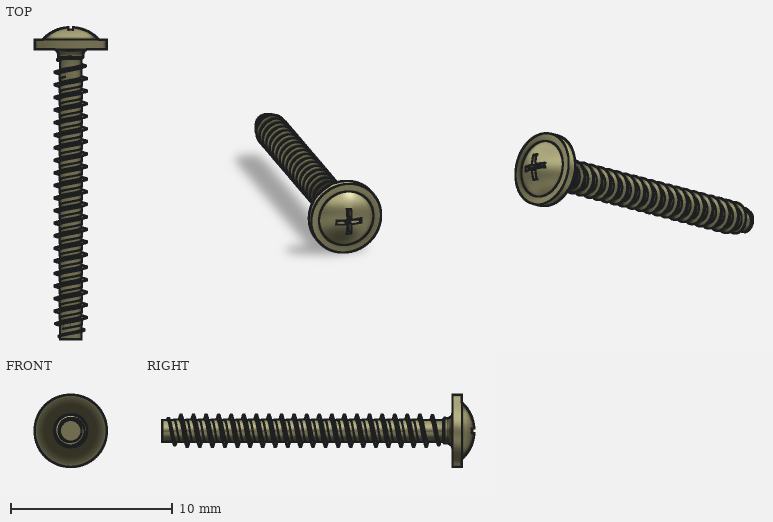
import cadquery as cq
import math

shank_length = 18.0
head_height = 1.38

flange_radius = 2.25
flange_thickness = 0.6
dome_base_radius = 1.75
recess_span = 1.6
recess_slot_width = 0.28
recess_depth = 0.8

neck_radius = 0.79
neck_length = 0.48
neck_fillet = 0.3

core_radius = 0.68
crest_radius = 1.015
crest_width = 0.02
flank_angle = 15.0
land_radius = 0.705
land_width = 0.42
root_embed = 0.08
thread_pitch = 0.78
thread_start = 0.45
thread_start_angle = 90.0
start_turns = 1.25
full_turns = 19.75
end_turns = 1.5
start_crest_radius = 0.82
end_crest_radius = 0.7


def make_body():
    """Revolve the dome, flange, filleted neck and core as one profile."""
    dome_height = head_height - flange_thickness
    dome_radius = (dome_base_radius**2 + dome_height**2) / (2 * dome_height)
    mid_angle = math.asin(dome_base_radius / dome_radius) / 2
    dome_mid = (
        dome_radius * math.sin(mid_angle),
        -head_height + dome_radius * (1 - math.cos(mid_angle)),
    )
    fillet_mid_offset = neck_fillet * (1 - math.sqrt(0.5))
    neck_chamfer = neck_radius - core_radius
    profile = (
        cq.Workplane("XZ")
        .moveTo(0, -head_height)
        .threePointArc(dome_mid, (dome_base_radius, -flange_thickness))
        .lineTo(flange_radius, -flange_thickness)
        .lineTo(flange_radius, 0)
        .lineTo(neck_radius + neck_fillet, 0)
        .threePointArc(
            (neck_radius + fillet_mid_offset, fillet_mid_offset),
            (neck_radius, neck_fillet),
        )
        .lineTo(neck_radius, neck_length)
        .lineTo(core_radius, neck_length + neck_chamfer)
        .lineTo(core_radius, shank_length)
        .lineTo(0, shank_length)
        .close()
    )
    return profile.revolve(360, (0, 0), (0, 1))


def make_helix(turns, radius_from, radius_to):
    """Helix whose radius stays constant or changes evenly from start to end."""
    height = turns * thread_pitch
    if radius_from == radius_to:
        return cq.Wire.makeHelix(thread_pitch, height, radius_from)
    cone_angle = math.atan2(radius_to - radius_from, height)
    slant = 1 / math.cos(cone_angle)
    return cq.Wire.makeHelix(
        thread_pitch * slant,
        height * slant,
        radius_from,
        angle=math.degrees(cone_angle),
    )


def make_ridge(start_turn, turns, radius_from, radius_to):
    """Sweep the ridge, with a low land on its tip side, over one stretch of thread."""
    flank_slope = math.tan(math.radians(flank_angle))
    crest_half = crest_width / 2
    root_half = crest_half + (crest_radius - core_radius + root_embed) * flank_slope
    land_half = crest_half + (crest_radius - land_radius) * flank_slope
    root = radius_from - (crest_radius - core_radius) - root_embed
    land = radius_from - (crest_radius - land_radius)
    section = [
        (root, -root_half),
        (radius_from, -crest_half),
        (radius_from, crest_half),
        (land, land_half),
        (land, land_width),
        (root, land_width),
    ]
    helix = make_helix(turns, radius_from, radius_to)
    ridge = (
        cq.Workplane("XZ")
        .polyline(section)
        .close()
        .sweep(cq.Workplane(helix), isFrenet=True)
    )
    angle = thread_start_angle + 360 * start_turn
    height = thread_start + start_turn * thread_pitch
    return ridge.rotate((0, 0, 0), (0, 0, 1), angle).translate((0, 0, height))


def add_thread(body):
    """Add the ridge as a rising, a full and a sinking stretch."""
    sink_turn = start_turns + full_turns
    rising = make_ridge(0, start_turns, start_crest_radius, crest_radius)
    full = make_ridge(start_turns, full_turns, crest_radius, crest_radius)
    sinking = make_ridge(sink_turn, end_turns, crest_radius, end_crest_radius)
    beyond_tip = (
        cq.Workplane("XY", origin=(0, 0, shank_length)).circle(crest_radius).extrude(thread_pitch)
    )
    return body.union(rising).union(full).union(sinking.cut(beyond_tip))


def cut_recess(body):
    """Cut the cross recess into the dome, its wings along X and Y."""
    recess_top = cq.Workplane("XY", origin=(0, 0, -head_height))
    for length, width in ((recess_span, recess_slot_width), (recess_slot_width, recess_span)):
        body = body.cut(recess_top.rect(length, width).extrude(recess_depth))
    return body


screw = add_thread(cut_recess(make_body()))
result = screw.rotate((0, 0, 0), (1, 0, 0), 90)